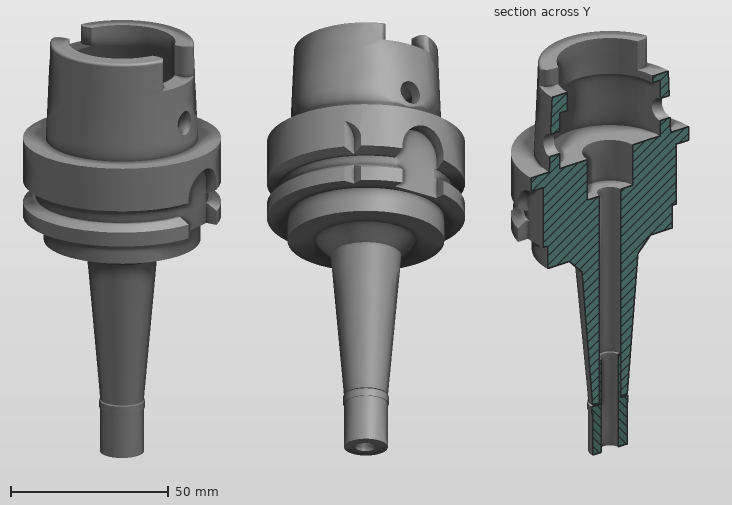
import cadquery as cq
import math


total_length = 137.0
taper_height = 32.0
cutter_bottom_z = taper_height - total_length

taper_base_radius = 24.2
taper_top_radius = 22.9
rim_fillet = 1.0
bore_radius = 17.0
recess_radius = 19.9
recess_top_z = taper_height - 12.6
recess_floor_z = 0.0
tube_bore_radius = 8.9
tube_bore_floor_z = -14.2

drive_slot_width = 12.9
drive_slot_corner = 3.0
drive_slot_flat_x = 21.1
left_drive_depth = 6.0
right_drive_depth = 10.1

cross_hole_radius = 3.8
cross_hole_z = taper_height - 22.9

flange_radius = 31.5
flange_bottom_z = -26.0
groove_floor_radius = 27.5
groove_edge_radius = 28.5
groove_upper_lip_z = -14.2
groove_upper_z = -16.0
groove_lower_z = -19.5
groove_lower_lip_z = -21.4

keyway_width = 16.3
keyway_top_z = -5.0
keyway_floor_x = 26.6
notch_floor_x = -20.5
notch_side_y = 20.0
notch_radius = 7.0
notch_top_z = -4.7

hub_radius = 25.0
hub_bottom_z = -34.0
shoulder_radius = 16.2
neck_top_radius = 11.2
neck_top_z = -39.0
neck_tip_radius = 7.0
neck_tip_z = -87.3

collar_gap = 0.4
collar_top_z = neck_tip_z - collar_gap
collar_radius = 7.3
collar_height = 2.5
shank_radius = 7.0
stem_radius = 4.1
stem_insertion = 15.1
coolant_hole_radius = 3.3


def revolved(profile):
    """Solid of revolution about Z from (radius, z) points."""
    return cq.Workplane("XZ").polyline(profile).close().revolve(360, (0, 0), (0, 1))


def cylinder_between(radius, bottom_z, top_z):
    return cq.Workplane("XY").workplane(offset=bottom_z).circle(radius).extrude(top_z - bottom_z)


def holder_blank():
    blank = revolved([
        (0, taper_height),
        (taper_top_radius, taper_height),
        (taper_base_radius, 0),
        (flange_radius, 0),
        (flange_radius, groove_upper_lip_z),
        (groove_edge_radius, groove_upper_z),
        (groove_floor_radius, groove_upper_z),
        (groove_floor_radius, groove_lower_z),
        (groove_edge_radius, groove_lower_z),
        (flange_radius, groove_lower_lip_z),
        (flange_radius, flange_bottom_z),
        (hub_radius, flange_bottom_z),
        (hub_radius, hub_bottom_z),
        (shoulder_radius, hub_bottom_z),
        (neck_top_radius, neck_top_z),
        (neck_tip_radius, neck_tip_z),
        (0, neck_tip_z),
    ])
    return blank.faces(">Z").edges().fillet(rim_fillet)


def stepped_bore():
    return revolved([
        (0, taper_height),
        (bore_radius, taper_height),
        (bore_radius, recess_top_z),
        (recess_radius, recess_top_z),
        (recess_radius, recess_floor_z),
        (tube_bore_radius, recess_floor_z),
        (tube_bore_radius, tube_bore_floor_z),
        (stem_radius, tube_bore_floor_z),
        (stem_radius, neck_tip_z),
        (0, neck_tip_z),
    ])


def drive_slot(depth):
    """Slot on the -X side whose walls round outward into flats across the taper."""
    half_width = drive_slot_width / 2
    corner_start_x = -drive_slot_flat_x + drive_slot_corner
    corner_end_y = half_width + drive_slot_corner
    corner_inset = drive_slot_corner * (1 - math.sqrt(0.5))
    corner_mid_x = -drive_slot_flat_x + corner_inset
    corner_mid_y = half_width + corner_inset
    half_outline = (
        cq.Workplane("XY")
        .workplane(offset=taper_height - depth)
        .lineTo(0, half_width)
        .lineTo(corner_start_x, half_width)
        .threePointArc((corner_mid_x, corner_mid_y), (-drive_slot_flat_x, corner_end_y))
        .lineTo(-drive_slot_flat_x, taper_base_radius)
        .lineTo(-taper_base_radius, taper_base_radius)
        .lineTo(-taper_base_radius, 0)
    )
    return half_outline.mirrorX().extrude(depth)


def cross_hole():
    return (
        cq.Workplane("YZ")
        .center(0, cross_hole_z)
        .circle(cross_hole_radius)
        .extrude(taper_base_radius, both=True)
    )


def round_top_slot(center_y, radius, top_z, floor_x):
    """Vertical slot with a round top, cut into the -X side of the flange down to floor_x."""
    center_z = top_z - radius
    return (
        cq.Workplane("YZ")
        .workplane(offset=-flange_radius)
        .moveTo(center_y - radius, flange_bottom_z)
        .lineTo(center_y - radius, center_z)
        .threePointArc((center_y, top_z), (center_y + radius, center_z))
        .lineTo(center_y + radius, flange_bottom_z)
        .close()
        .extrude(floor_x + flange_radius)
    )


def make_holder():
    keyway = round_top_slot(0, keyway_width / 2, keyway_top_z, -keyway_floor_x)
    opposite_keyway = keyway.rotate((0, 0, 0), (0, 0, 1), 180)
    index_notch = round_top_slot(notch_side_y + notch_radius, notch_radius, notch_top_z, notch_floor_x)
    right_drive_slot = drive_slot(right_drive_depth).rotate((0, 0, 0), (0, 0, 1), 180)
    return (
        holder_blank()
        .cut(stepped_bore())
        .cut(drive_slot(left_drive_depth))
        .cut(right_drive_slot)
        .cut(cross_hole())
        .cut(keyway)
        .cut(opposite_keyway)
        .cut(index_notch)
    )


def make_cutter():
    collar_bottom_z = collar_top_z - collar_height
    stem_top_z = neck_tip_z + stem_insertion
    shank = cylinder_between(shank_radius, cutter_bottom_z, collar_bottom_z)
    collar = cylinder_between(collar_radius, collar_bottom_z, collar_top_z)
    stem = cylinder_between(stem_radius, collar_top_z, stem_top_z)
    coolant_hole = cylinder_between(coolant_hole_radius, cutter_bottom_z, stem_top_z)
    return shank.union(collar).union(stem).cut(coolant_hole)


holder = make_holder()
cutter = make_cutter()

result = cq.Compound.makeCompound([holder.val(), cutter.val()])